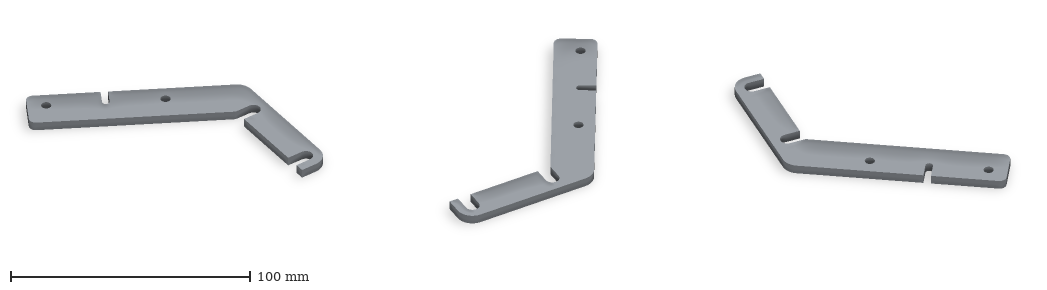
import cadquery as cq
import math

overall_length = 106.2
thickness = 4.0
bar_depth = 14.0
tip_width = 4.0
corner_radius = 7.0

bar_slot_width = 6.0
bar_slot_depth = 10.0

arm_angle = 60
arm_width = 18.3
arm_length = 86.5
end_radius = 3.0

hole_diameter = 4.2
hole_spacing = 50.0
hole_edge_distance = 7.0
hole_end_distance = 8.1
arm_slot_width = 3.2
arm_slot_depth = 8.4


def arm_point(down, across):
    """Point at a distance down the arm's inner edge and across towards its outer edge."""
    angle = math.radians(arm_angle)
    x = -down * math.cos(angle) - across * math.sin(angle)
    y = -down * math.sin(angle) + across * math.cos(angle)
    return (x, y)


end_round_center = arm_point(arm_length - end_radius, arm_width - end_radius)
arm_reach = end_radius - end_round_center[0]
bar_length = overall_length - arm_reach
bar_slot_spacing = bar_length - bar_slot_width - tip_width


def plate():
    """Bent plate with rounded bend, bar tip and arm end."""
    angle = math.radians(arm_angle)
    bend_x = (bar_depth * math.cos(angle) - arm_width) / math.sin(angle)
    bend = (bend_x, bar_depth)
    tip = (bar_length, bar_depth)
    end_inner = arm_point(arm_length, 0)
    end_outer = arm_point(arm_length, arm_width)
    outline = [(0, 0), (bar_length, 0), tip, bend, end_outer, end_inner]
    body = cq.Workplane("XY").polyline(outline).close().extrude(thickness)
    rounded_corners = [
        (bend, corner_radius),
        (tip, corner_radius),
        (end_outer, end_radius),
        (end_inner, end_radius),
    ]
    for (x, y), radius in rounded_corners:
        corner = cq.selectors.NearestToPointSelector((x, y, thickness / 2))
        body = body.edges("|Z").edges(corner).fillet(radius)
    return body


def open_slot(mouth, direction, width, depth):
    """Cutter with a round inner end, running from a mouth centre along a direction in degrees."""
    radius = width / 2
    straight = depth - radius
    cutter = (
        cq.Workplane("XY")
        .moveTo(0, -radius)
        .lineTo(straight, -radius)
        .threePointArc((depth, 0), (straight, radius))
        .lineTo(0, radius)
        .close()
        .extrude(thickness)
    )
    return cutter.rotate((0, 0, 0), (0, 0, 1), direction).translate((mouth[0], mouth[1], 0))


result = plate()

for offset in (0, bar_slot_spacing):
    slot_mouth = (offset + bar_slot_width / 2, 0)
    result = result.cut(open_slot(slot_mouth, 90, bar_slot_width, bar_slot_depth))

lower_hole_down = arm_length - hole_end_distance
upper_hole_down = lower_hole_down - hole_spacing
for down in (lower_hole_down, upper_hole_down):
    x, y = arm_point(down, arm_width - hole_edge_distance)
    hole = cq.Workplane("XY").center(x, y).circle(hole_diameter / 2).extrude(thickness)
    result = result.cut(hole)

arm_slot_mouth = arm_point((lower_hole_down + upper_hole_down) / 2, arm_width)
result = result.cut(open_slot(arm_slot_mouth, arm_angle - 90, arm_slot_width, arm_slot_depth))